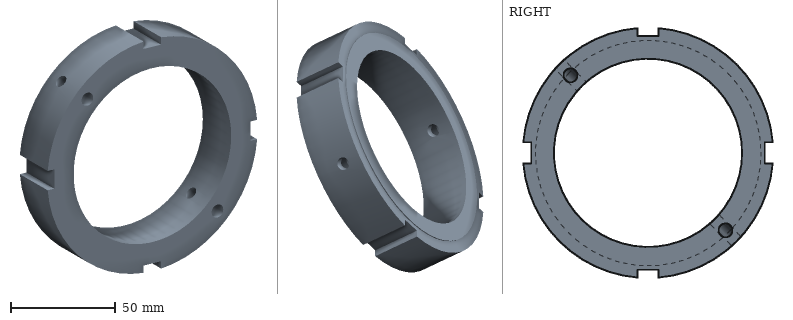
import cadquery as cq

outer_diameter = 120.0
bore_diameter = 90.0
total_width = 25.0

face_diameter = 108.0
face_height = 0.5

slot_count = 4
slot_width = 10.0
slot_depth = 4.0

pair_count = 2
first_pair_angle = 45.0
radial_hole_diameter = 6.2
radial_hole_offset = 10.0
axial_hole_diameter = 6.65

outer_radius = outer_diameter / 2
bore_radius = bore_diameter / 2
mid_wall_radius = (outer_radius + bore_radius) / 2


def make_ring():
    """Rim and raised face, bored through along X."""
    face = cq.Workplane("YZ").circle(face_diameter / 2).extrude(face_height)
    rim = (
        cq.Workplane("YZ", origin=(face_height, 0, 0))
        .circle(outer_radius)
        .extrude(total_width - face_height)
    )
    bore = cq.Workplane("YZ").circle(bore_radius).extrude(total_width)
    return face.union(rim).cut(bore)


def cut_spanner_slots(ring):
    """Evenly spaced rectangular slots running the full width of the rim."""
    slot_floor_radius = outer_radius - slot_depth
    slot = cq.Workplane("XY", origin=(0, 0, slot_floor_radius)).box(
        total_width, slot_width, slot_depth, centered=(False, True, False)
    )
    for index in range(slot_count):
        angle = index * 360.0 / slot_count
        ring = ring.cut(slot.rotate((0, 0, 0), (1, 0, 0), angle))
    return ring


def cut_hole_pairs(ring):
    """Evenly spaced pairs of crossing radial and axial holes."""
    radial_hole = (
        cq.Workplane("XY")
        .center(radial_hole_offset, 0)
        .circle(radial_hole_diameter / 2)
        .extrude(outer_radius)
    )
    axial_hole = (
        cq.Workplane("YZ", origin=(radial_hole_offset, 0, mid_wall_radius))
        .circle(axial_hole_diameter / 2)
        .extrude(total_width - radial_hole_offset)
    )
    pair = radial_hole.union(axial_hole)
    for index in range(pair_count):
        angle = first_pair_angle + index * 360.0 / pair_count
        ring = ring.cut(pair.rotate((0, 0, 0), (1, 0, 0), angle))
    return ring


result = make_ring()
result = cut_spanner_slots(result)
result = cut_hole_pairs(result)